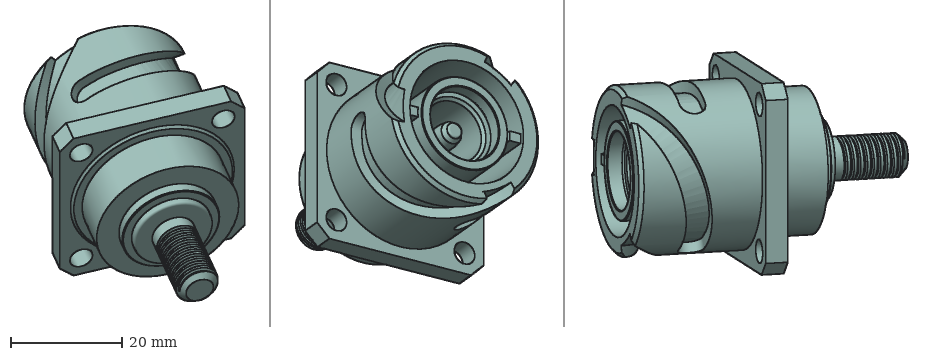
import cadquery as cq
import math


body_radius = 15.5
body_end = 27.65
body_front_chamfer = 0.75
body_rear_chamfer = 0.5
boss_radius = 13.45
boss_end = 35.95
collar_radius = 9.2
collar_end = 37.9
collar_chamfer = 0.15
washer_radius = 7.5
washer_end = 39.2
washer_fillet = 0.5
stud_radius = 4.0
stud_end = 54.2
stud_tip_chamfer = 1.4

flange_size = 35.0
flange_front = 23.0
flange_rear = 27.15
flange_corner = 2.6
flange_hole_spacing = 26.9
flange_hole_diameter = 4.3

cavity_radius = 11.9
cavity_floor = 20.05
tube_radius = 9.05
tube_front = 0.65
tube_chamfer = 0.15
tube_bore_radius = 7.15
tube_bore_end = 3.45
tube_recess_radius = 7.9
insert_front = 4.2
insert_mouth_radius = 6.45
insert_edge = 0.1
insert_bore_radius = 5.95
key_front = 1.0
key_width = 1.9
key_tip_radius = 9.65
pin_radius = 2.4
pin_tip_radius = 1.1
pin_tip_fillet = 0.45
pin_front = 3.9
pin_cone_radius = 2.1
pin_cone_end = 5.3
pin_taper_end = 7.05

slot_count = 3
slot_width = 4.8
slot_floor_radius = 13.35
slot_cut_overshoot = 1.6
slot_cutter_radius = body_radius + slot_cut_overshoot
slot_end_x = 12.05
slot_end_angle = 1.8
slot_straight_length = 3.45
slot_curve_radius = 42.3
slot_curve_angle = 50
slot_curve_steps = 25

thread_pitch = 1.25
thread_depth = 0.55
thread_start = 41.45
thread_turns = 9.5
groove_root_width = 0.2
groove_mouth_width = 0.65
groove_overshoot = 0.1


def revolve_about_x(outline):
    """Revolve a closed outline, drawn with X along and Y as the radius, about the X axis."""
    return outline.revolve(360, (0, 0, 0), (1, 0, 0))


def disc(radius, start, end):
    """Cylinder on the X axis."""
    return cq.Workplane("YZ").workplane(offset=start).circle(radius).extrude(end - start)


def stepped_outside():
    body = disc(body_radius, 0, body_end)
    body = body.faces("<X").chamfer(body_front_chamfer).faces(">X").chamfer(body_rear_chamfer)
    boss = disc(boss_radius, body_end, boss_end)
    collar = disc(collar_radius, boss_end, collar_end).faces(">X").chamfer(collar_chamfer)
    washer = disc(washer_radius, collar_end, washer_end).faces(">X").edges().fillet(washer_fillet)
    stud = disc(stud_radius, washer_end, stud_end).faces(">X").chamfer(stud_tip_chamfer)
    return body.union(boss).union(collar).union(washer).union(stud)


def flange():
    plate = cq.Workplane("YZ").workplane(offset=flange_front).rect(flange_size, flange_size)
    plate = plate.extrude(flange_rear - flange_front).edges("|X").chamfer(flange_corner)
    holes = plate.faces("<X").workplane().rect(flange_hole_spacing, flange_hole_spacing, forConstruction=True)
    return holes.vertices().hole(flange_hole_diameter)


def contact_tube():
    """Tube in the cavity, with the lip, the recess behind it and the insert seen through its mouth."""
    insert_mouth_end = insert_front + insert_edge
    insert_cone_end = insert_mouth_end + insert_mouth_radius - insert_bore_radius
    outline = cq.Workplane("XY").polyline([
        (cavity_floor, tube_radius),
        (tube_front + tube_chamfer, tube_radius),
        (tube_front, tube_radius - tube_chamfer),
        (tube_front, tube_bore_radius + tube_chamfer),
        (tube_front + tube_chamfer, tube_bore_radius),
        (tube_bore_end, tube_bore_radius),
        (tube_bore_end, tube_recess_radius),
        (insert_front, tube_recess_radius),
        (insert_front, insert_mouth_radius + insert_edge),
        (insert_mouth_end, insert_mouth_radius),
        (insert_cone_end, insert_bore_radius),
        (cavity_floor, insert_bore_radius),
    ])
    return revolve_about_x(outline.close())


def contact_pin():
    """Pin standing on the cavity floor, with a rounded tip that widens as two cones to the full radius."""
    round_radius = pin_tip_radius + pin_tip_fillet
    round_end = pin_front + pin_tip_fillet
    arc_middle = (
        round_end - pin_tip_fillet * math.cos(math.radians(45)),
        pin_tip_radius + pin_tip_fillet * math.sin(math.radians(45)),
    )
    outline = cq.Workplane("XY").moveTo(pin_front, 0).lineTo(pin_front, pin_tip_radius)
    outline = outline.threePointArc(arc_middle, (round_end, round_radius))
    outline = outline.lineTo(pin_cone_end, pin_cone_radius).lineTo(pin_taper_end, pin_radius)
    outline = outline.lineTo(cavity_floor, pin_radius).lineTo(cavity_floor, 0).close()
    return revolve_about_x(outline)


def keys():
    """Two axial ribs on the cavity wall, at +Y and -Y."""
    bars = cq.Workplane("YZ").workplane(offset=key_front).rect(2 * body_radius, key_width)
    bars = bars.extrude(cavity_floor - key_front)
    return bars.intersect(disc(cavity_radius, 0, cavity_floor)).cut(disc(key_tip_radius, 0, cavity_floor))


def slot_section(arc_length, x, lean):
    """Rectangle square to the path at a place on the unrolled body surface; its sides run radially inward."""
    angle = -arc_length / body_radius
    outward = cq.Vector(0, math.cos(angle), math.sin(angle))
    around = cq.Vector(0, math.sin(angle), -math.cos(angle))
    across = cq.Vector(math.cos(lean), 0, 0) + around * math.sin(lean)
    half_width = across * (slot_width / 2)
    floor_middle = cq.Vector(x, 0, 0) + outward * slot_floor_radius
    top_middle = cq.Vector(x, 0, 0) + outward * slot_cutter_radius
    corners = [
        floor_middle - half_width,
        top_middle - half_width,
        top_middle + half_width,
        floor_middle + half_width,
    ]
    return cq.Wire.makePolygon(corners, close=True)


def slot_cutter():
    """Slot whose round end is at +Y; the path runs straight round the body, then bends forward."""
    sections = [slot_section(0, slot_end_x, 0)]
    for step in range(slot_curve_steps + 1):
        lean = math.radians(slot_curve_angle * step / slot_curve_steps)
        arc_length = slot_straight_length + slot_curve_radius * math.sin(lean)
        x = slot_end_x - slot_curve_radius * (1 - math.cos(lean))
        sections.append(slot_section(arc_length, x, lean))
    channel = cq.Workplane(cq.Solid.makeLoft(sections, True))
    round_end = cq.Workplane("XZ", origin=(slot_end_x, slot_floor_radius, 0)).circle(slot_width / 2)
    return channel.union(round_end.extrude(slot_floor_radius - slot_cutter_radius))


def thread_groove():
    """Right-hand helical groove of trapezoid section, starting at +Y."""
    length = thread_pitch * thread_turns
    flank = (groove_mouth_width - groove_root_width) / 2
    top_half = groove_mouth_width / 2 + flank * groove_overshoot / thread_depth
    root_half = groove_root_width / 2
    root_radius = stud_radius - thread_depth
    top_radius = stud_radius + groove_overshoot
    helix = cq.Wire.makeHelix(thread_pitch, length, root_radius)
    profile = cq.Workplane("XZ").polyline([
        (root_radius, -root_half),
        (top_radius, -top_half),
        (top_radius, top_half),
        (root_radius, root_half),
    ]).close()
    groove = profile.sweep(cq.Workplane(helix), isFrenet=True)
    groove = groove.rotate((0, 0, 0), (1, 1, 1), 120)
    return groove.translate((thread_start, 0, 0))


result = stepped_outside().union(flange())
result = result.cut(disc(cavity_radius, 0, cavity_floor))
result = result.union(contact_tube()).union(contact_pin()).union(keys())
for slot in range(slot_count):
    result = result.cut(slot_cutter().rotate((0, 0, 0), (1, 0, 0), slot_end_angle + slot * 360 / slot_count))
result = result.cut(thread_groove())